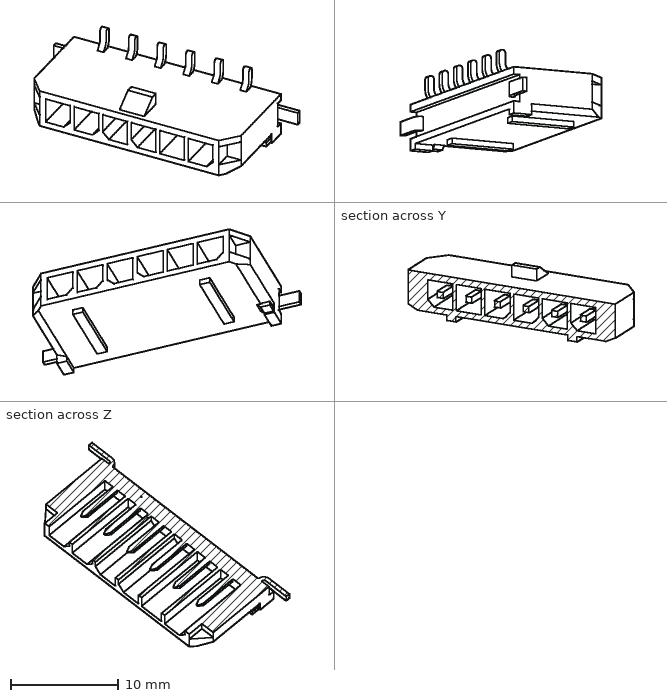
import cadquery as cq
import math


pitch = 3.0
pin_size = 0.64
pin_length = 4.5
pin_tip_length = 0.5
pin_tip_size = 0.2

cavity_keys = [1, 1, -1, -1, 0, 1]
contact_count = len(cavity_keys)

housing_width = 21.74
housing_depth = 9.86
housing_height = 3.87
floor_thickness = 0.62
roof_thickness = 0.70
ceiling_z = housing_height - roof_thickness
corner_cut_x = 1.47
corner_cut_y = 1.70
corner_pocket_z = 1.18
edge_chamfer_x = 1.0
edge_chamfer_z = 0.49
half_width = housing_width / 2

cavity_width = 2.58
cavity_depth = 7.5
cavity_height = ceiling_z - floor_thickness
cavity_mid_z = floor_thickness + cavity_height / 2
key_size = 0.66

latch_width = 2.58
latch_height = 1.17
latch_front_y = 0.54
latch_crest_y = 2.25
latch_rear_y = 2.95

foot_height = 0.53
end_foot_width = 1.0
end_foot_length = 1.85
rail_width = 1.0
rail_offset = 6.34
rail_front_y = 1.62
end_foot_front_y = housing_depth - end_foot_length

step_length = 1.0
step_top_z = 0.06
step_bottom_z = -0.38
step_side_inset = 0.08
step_slope_x = 0.38

clip_span = 25.64
clip_thickness = 0.46
clip_height = 1.30
clip_proud = 0.07
clip_bend_radius = 0.70
notch_depth = clip_bend_radius - clip_proud
clip_flat_inset = 0.70
clip_flat_end_x = half_width - clip_flat_inset
clip_inner_x = clip_flat_end_x - clip_bend_radius

leg_rise = 2.15
leg_bend_start = 0.92
leg_bend_radius = 0.83
leg_bend_angle = math.radians(40)
leg_embed = 0.3


def box(x_min, x_max, y_min, y_max, z_min, z_max):
    """Box between two limits on each axis."""
    size = (x_max - x_min, y_max - y_min, z_max - z_min)
    return cq.Workplane("XY").box(*size, centered=False).translate((x_min, y_min, z_min))


def both_ends(shape):
    """The shape at the +X end together with its mirror image at the -X end."""
    return shape.union(shape.mirror("YZ"))


def make_housing():
    """Block with cut front corners, chamfered lower edges, end pockets and a rear notch."""
    body = box(-half_width, half_width, 0, housing_depth, 0, housing_height)

    corner = (
        cq.Workplane("XY")
        .moveTo(half_width, 0)
        .lineTo(half_width, corner_cut_y)
        .lineTo(half_width - corner_cut_x, 0)
        .close()
        .extrude(housing_height)
    )
    pocket = box(
        half_width - corner_cut_x, half_width, 0, corner_cut_y, corner_pocket_z, ceiling_z
    )
    edge = (
        cq.Workplane("XZ")
        .moveTo(half_width, 0)
        .lineTo(half_width, edge_chamfer_z)
        .lineTo(half_width - edge_chamfer_x, 0)
        .close()
        .extrude(-end_foot_front_y)
    )
    notch = box(
        -half_width, half_width, housing_depth - notch_depth, housing_depth,
        floor_thickness, ceiling_z,
    )
    for cutter in (corner, pocket, edge):
        body = body.cut(both_ends(cutter))
    return body.cut(notch)


def make_cavity(x, key):
    """Square contact cavity, with one lower corner filled as a key."""
    half = cavity_width / 2
    cavity = box(x - half, x + half, 0, cavity_depth, floor_thickness, ceiling_z)
    if key:
        side = x + key * half
        corner = (
            cq.Workplane("XZ")
            .moveTo(side, floor_thickness)
            .lineTo(side - key * key_size, floor_thickness)
            .lineTo(side, floor_thickness + key_size)
            .close()
            .extrude(-cavity_depth)
        )
        cavity = cavity.cut(corner)
    return cavity


def make_pin(x):
    """Square pin projecting from the cavity back wall, with a tapered tip."""
    shoulder_y = cavity_depth - pin_length + pin_tip_length
    half = pin_size / 2
    shaft = box(
        x - half, x + half, shoulder_y, housing_depth - notch_depth,
        cavity_mid_z - half, cavity_mid_z + half,
    )
    tip = (
        cq.Workplane("XZ", origin=(x, shoulder_y, cavity_mid_z))
        .rect(pin_size, pin_size)
        .workplane(offset=pin_tip_length)
        .rect(pin_tip_size, pin_tip_size)
        .loft()
    )
    return shaft.union(tip)


def make_leg(x):
    """Solder leg: leaves the roof at a slant, bends upright, ends in a rounded tip."""
    rear_y = housing_depth
    front_y = rear_y - pin_size
    tip_radius = pin_size / 2
    tip_z = housing_height + leg_rise
    shoulder_z = tip_z - tip_radius
    bend_z = housing_height + leg_bend_start
    bend_center_y = front_y - leg_bend_radius
    outer_radius = leg_bend_radius + pin_size

    def on_bend(radius, angle):
        return (bend_center_y + radius * math.cos(angle), bend_z - radius * math.sin(angle))

    inner_end = on_bend(leg_bend_radius, leg_bend_angle)
    outer_end = on_bend(outer_radius, leg_bend_angle)
    straight = (inner_end[1] - housing_height) / math.cos(leg_bend_angle) + leg_embed
    slant_y = -straight * math.sin(leg_bend_angle)
    slant_z = -straight * math.cos(leg_bend_angle)

    leg = (
        cq.Workplane("YZ")
        .moveTo(front_y, shoulder_z)
        .lineTo(front_y, bend_z)
        .threePointArc(on_bend(leg_bend_radius, leg_bend_angle / 2), inner_end)
        .lineTo(inner_end[0] + slant_y, inner_end[1] + slant_z)
        .lineTo(outer_end[0] + slant_y, outer_end[1] + slant_z)
        .lineTo(*outer_end)
        .threePointArc(on_bend(outer_radius, leg_bend_angle / 2), (rear_y, bend_z))
        .lineTo(rear_y, shoulder_z)
        .threePointArc((rear_y - tip_radius, tip_z), (front_y, shoulder_z))
        .close()
        .extrude(pin_size / 2, both=True)
    )
    return leg.translate((x, 0, 0))


def make_latch():
    """Ramp on the roof that the mating latch snaps over."""
    base_z = housing_height
    crest_z = base_z + latch_height
    return (
        cq.Workplane("YZ")
        .moveTo(latch_front_y, base_z)
        .lineTo(latch_crest_y, crest_z)
        .lineTo(latch_rear_y, crest_z)
        .lineTo(latch_rear_y, base_z)
        .close()
        .extrude(latch_width / 2, both=True)
    )


def make_feet():
    """Rear end feet and the two long rails under the housing."""
    end_foot = box(
        half_width - end_foot_width, half_width, end_foot_front_y, housing_depth, -foot_height, 0
    )
    rail = box(
        rail_offset - rail_width / 2, rail_offset + rail_width / 2,
        rail_front_y, end_foot_front_y, -foot_height, 0,
    )
    return both_ends(end_foot.union(rail))


def make_foot_step():
    """Small step with a sloped inner side, in front of the +X end foot."""
    outer_x = half_width - step_side_inset
    inner_x = half_width - end_foot_width
    slope_x = inner_x - step_slope_x
    return (
        cq.Workplane("XZ", origin=(0, end_foot_front_y, 0))
        .moveTo(outer_x, step_top_z)
        .lineTo(slope_x, step_top_z)
        .lineTo(slope_x, 0)
        .lineTo(inner_x, step_bottom_z)
        .lineTo(outer_x, step_bottom_z)
        .close()
        .extrude(step_length)
    )


def make_clip():
    """Sheet-metal clip at the +X end: flat tab with a bend into the notch."""
    rear_y = housing_depth + clip_proud
    front_y = rear_y - clip_thickness
    center_y = rear_y - clip_bend_radius
    inner_radius = clip_bend_radius - clip_thickness
    diagonal = math.sqrt(0.5)
    return (
        cq.Workplane("XY", origin=(0, 0, cavity_mid_z - clip_height / 2))
        .moveTo(clip_span / 2, rear_y)
        .lineTo(clip_flat_end_x, rear_y)
        .threePointArc(
            (clip_flat_end_x - diagonal * clip_bend_radius, center_y + diagonal * clip_bend_radius),
            (clip_inner_x, center_y),
        )
        .lineTo(clip_inner_x + clip_thickness, center_y)
        .threePointArc(
            (clip_flat_end_x - diagonal * inner_radius, center_y + diagonal * inner_radius),
            (clip_flat_end_x, front_y),
        )
        .lineTo(clip_span / 2, front_y)
        .close()
        .extrude(clip_height)
    )


result = make_housing().union(make_feet()).union(make_foot_step())
result = result.union(make_latch()).union(both_ends(make_clip()))

for index, key in enumerate(cavity_keys):
    contact_x = (index - (contact_count - 1) / 2) * pitch
    result = result.cut(make_cavity(contact_x, key))
    result = result.union(make_pin(contact_x)).union(make_leg(contact_x))